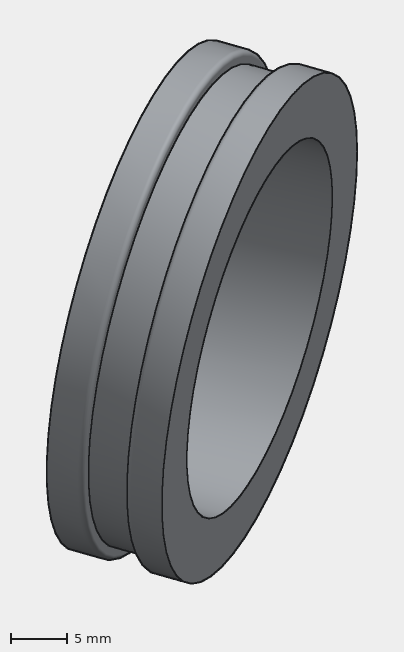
import cadquery as cq

ring_width = 11.0
outer_diameter = 47.0
bore_diameter = 35.0
groove_diameter = 44.5
groove_width = 4.0
lip_radius = 0.5

outer_radius = outer_diameter / 2
bore_radius = bore_diameter / 2
groove_radius = groove_diameter / 2


def plain_ring():
    """Ring with a through bore, centred on the origin."""
    return (
        cq.Workplane("YZ")
        .circle(outer_radius)
        .circle(bore_radius)
        .extrude(ring_width / 2, both=True)
    )


def groove_cutter():
    """Solid of revolution that cuts the central groove and rounds both of its lips."""
    wall_x = groove_width / 2
    lip_x = wall_x + lip_radius
    wall_top = outer_radius - lip_radius
    return (
        cq.Workplane("XY")
        .moveTo(-wall_x, groove_radius)
        .lineTo(wall_x, groove_radius)
        .lineTo(wall_x, wall_top)
        .radiusArc((lip_x, outer_radius), lip_radius)
        .lineTo(-lip_x, outer_radius)
        .radiusArc((-wall_x, wall_top), lip_radius)
        .close()
        .revolve(360, (0, 0, 0), (1, 0, 0))
    )


result = plain_ring().cut(groove_cutter())